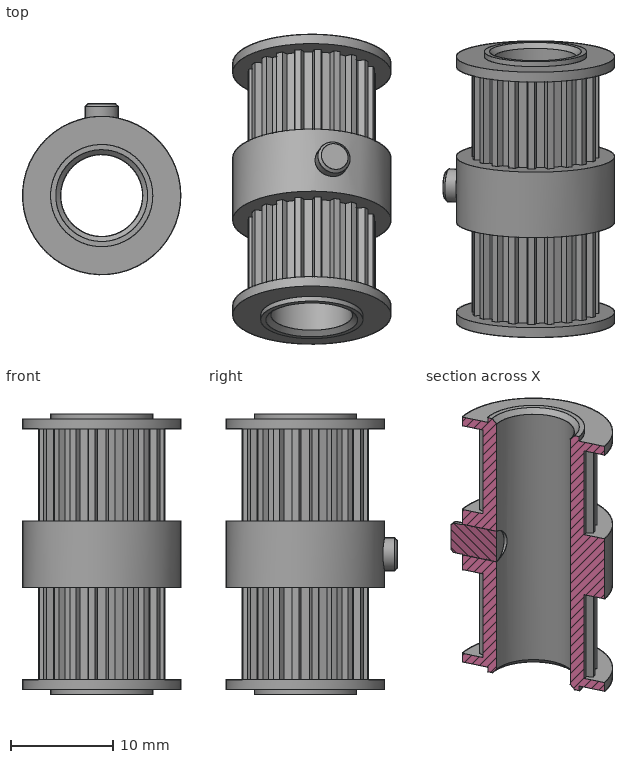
import cadquery as cq
import math

total_length = 27.5
rim_diameter = 15.5
hub_diameter = 10.0
hub_height = 0.5
flange_thickness = 1.0
toothed_length = 9.0
bore_diameter = 8.0
bore_chamfer = 0.5

tooth_count = 20
tooth_tip_diameter = 12.45
groove_depth = 0.7
groove_floor_width = 0.82
groove_flank_angle = 20.0
groove_overcut = 0.28

screw_diameter = 3.25
screw_chamfer = 0.28
screw_outer_reach = 9.0

tooth_tip_radius = tooth_tip_diameter / 2
groove_floor_radius = tooth_tip_radius - groove_depth
flange_outer_z = total_length / 2 - hub_height
flange_inner_z = flange_outer_z - flange_thickness
collar_half_length = flange_inner_z - toothed_length
tooth_pitch_angle = 360 / tooth_count
screw_inner_reach = bore_diameter / 2


def disc(diameter, bottom_z, top_z):
    """Cylinder on the Z axis between two heights."""
    return cq.Workplane("XY").workplane(offset=bottom_z).circle(diameter / 2).extrude(top_z - bottom_z)


def groove_cutters():
    """Trapezoidal grooves as long as the toothed core, the first one facing +X."""
    cutter_outer_radius = tooth_tip_radius + groove_overcut
    flank_spread = (cutter_outer_radius - groove_floor_radius) * math.tan(math.radians(groove_flank_angle))
    floor_half_width = groove_floor_width / 2
    mouth_half_width = floor_half_width + flank_spread
    groove = (
        cq.Workplane("XY")
        .workplane(offset=-flange_inner_z)
        .polyline([
            (groove_floor_radius, -floor_half_width),
            (cutter_outer_radius, -mouth_half_width),
            (cutter_outer_radius, mouth_half_width),
            (groove_floor_radius, floor_half_width),
        ])
        .close()
        .extrude(2 * flange_inner_z)
    )
    cutters = cq.Workplane("XY")
    for index in range(tooth_count):
        cutters = cutters.add(groove.rotate((0, 0, 0), (0, 0, 1), index * tooth_pitch_angle))
    return cutters.combine()


def make_toothed_core():
    """Toothed cylinder spanning both belt tracks."""
    return disc(tooth_tip_diameter, -flange_inner_z, flange_inner_z).cut(groove_cutters())


def radial_cylinder(start, end):
    """Cylinder of the screw's diameter along +Y, between two distances from the pulley axis."""
    return (
        cq.Workplane("XZ", origin=(0, start, 0))
        .circle(screw_diameter / 2)
        .extrude(start - end)
    )


def make_pulley():
    """Double pulley: toothed core, centre collar, end flanges, hubs, bore and screw hole."""
    pulley = make_toothed_core()
    pulley = pulley.union(disc(rim_diameter, -collar_half_length, collar_half_length))
    pulley = pulley.union(disc(rim_diameter, flange_inner_z, flange_outer_z))
    pulley = pulley.union(disc(rim_diameter, -flange_outer_z, -flange_inner_z))
    pulley = pulley.union(disc(hub_diameter, -total_length / 2, total_length / 2))
    pulley = pulley.cut(disc(bore_diameter, -total_length / 2, total_length / 2))
    smallest_circles = cq.selectors.RadiusNthSelector(0)
    pulley = pulley.faces("<Z or >Z").edges(smallest_circles).chamfer(bore_chamfer)
    screw_hole = radial_cylinder(0, screw_outer_reach)
    return pulley.cut(screw_hole)


def make_set_screw():
    """Set screw standing out of the collar, chamfered at its outer end."""
    screw = radial_cylinder(screw_inner_reach, screw_outer_reach)
    return screw.faces(">Y").chamfer(screw_chamfer)


pulley = make_pulley()
set_screw = make_set_screw()

result = cq.Compound.makeCompound([pulley.val(), set_screw.val()])